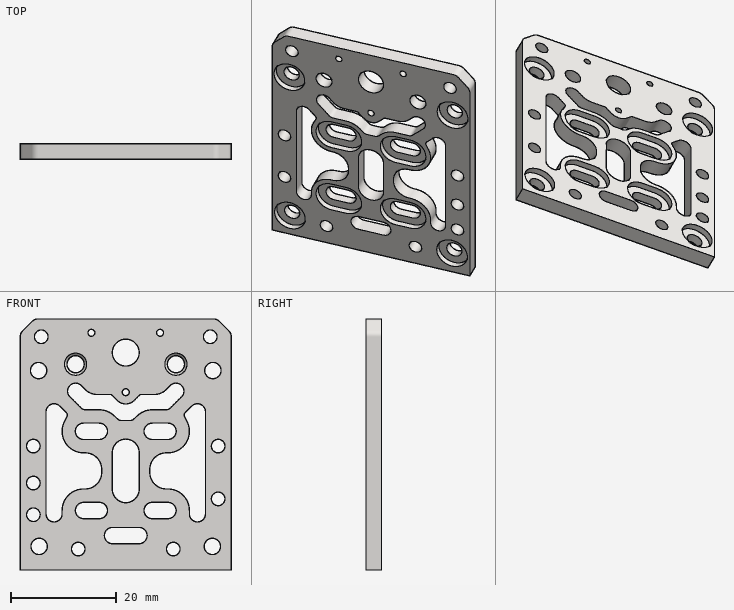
import cadquery as cq
import math

PLATE_WIDTH = 40.0
PLATE_HEIGHT = 47.6
PLATE_THICKNESS = 3.0
CORNER_CUT = 2.75
CORNER_CUT_RADIUS = 1.6

PILOT_DIAMETER = 1.27
SMALL_DIAMETER = 2.53
MEDIUM_DIAMETER = 3.05
LARGE_DIAMETER = 5.05
COUNTERSUNK_DIAMETER = 3.2
COUNTERSINK_DIAMETER = 4.2
COUNTERSINK_ANGLE = 90.0

LOWER_SLOT_Z = 11.3
SLOT_PITCH = 15.0
UPPER_SLOT_Z = LOWER_SLOT_Z + SLOT_PITCH
WINDOW_Z = LOWER_SLOT_Z + SLOT_PITCH / 2

CENTER_PILOT_Z = 33.7
PILOT_HOLES = [(-6.5, 44.95), (6.5, 44.95), (0.0, CENTER_PILOT_Z)]
SMALL_HOLES = [
    (-16.0, 44.2), (16.0, 44.2),
    (-17.5, 23.5), (-17.5, 16.5), (-17.5, 10.5),
    (17.5, 23.5), (17.5, 13.5),
    (-9.0, 4.0), (9.0, 4.0),
]
MEDIUM_HOLES = [(-16.5, 37.8), (16.5, 37.8), (-16.4, 4.5), (16.4, 4.5)]
LARGE_HOLES = [(0.0, 41.2)]
COUNTERSUNK_HOLES = [(-9.5, 39.0), (9.5, 39.0)]

SLOT_WIDTH = MEDIUM_DIAMETER
SLOT_LENGTH = 6.05
SLOT_X = 6.5
RECESS_WIDTH = 6.2
RECESS_DEPTH = 1.2
BOTTOM_SLOT_LENGTH = 8.05
BOTTOM_SLOT_Z = 6.55
CENTER_SLOT_WIDTH = LARGE_DIAMETER
CENTER_SLOT_LENGTH = 12.0

END_RADIUS = 1.5
SWEEP_RADIUS = 3.1
ARM_TIP_RADIUS = 0.6
DIP_RADIUS = 1.3
ELBOW_RADIUS = 1.1
BOSS_CORNER_RADIUS = 0.3

ARM_OUTER_X = -15.075
ARM_INNER_X = ARM_OUTER_X + 2 * END_RADIUS
ARM_LOWER_Z = 9.15
ARM_TOP_CENTER_Z = 30.0
NOTCH_X = -4.575
RECESS_WALL = 1.0
LOBE_RADIUS = RECESS_WIDTH / 2 + RECESS_WALL
LOBE_EXIT_ANGLE = 27.0

BAND_UPPER_Z = 33.25
BAND_LOWER_Z = UPPER_SLOT_Z + LOBE_RADIUS
UPPER_ARM_X = -9.5
UPPER_ARM_Z = 33.9
PILOT_BOSS_RADIUS = 2.25
DIP_LOWER_Z = 28.35
DIP_HALF_WIDTH = 1.28

MIN_LENGTH = 1e-3
ROOT2 = math.sqrt(2)


def unit(start, end):
    """Unit vector from start to end."""
    length = math.dist(start, end)
    return ((end[0] - start[0]) / length, (end[1] - start[1]) / length)


def along(point, direction, distance):
    """Point moved by a distance along a direction."""
    return (point[0] + direction[0] * distance, point[1] + direction[1] * distance)


def corner_arc(before, corner, after, radius):
    """Start, middle and end of the arc that rounds a corner."""
    to_before = unit(corner, before)
    to_after = unit(corner, after)
    cosine = to_before[0] * to_after[0] + to_before[1] * to_after[1]
    half_angle = math.acos(cosine) / 2
    setback = radius / math.tan(half_angle)
    middle_distance = radius / math.sin(half_angle) - radius
    start = along(corner, to_before, setback)
    end = along(corner, to_after, setback)
    middle = along(corner, unit(corner, along(start, unit(start, end), math.dist(start, end) / 2)),
                   middle_distance)
    return start, middle, end


def rounded_prism(corners):
    """Plate-thick prism whose outline is a polygon of (x, z, corner radius)."""
    points = [(x, z) for x, z, _ in corners]
    arcs = []
    for i, (_, _, radius) in enumerate(corners):
        following = points[(i + 1) % len(points)]
        if radius:
            arcs.append(corner_arc(points[i - 1], points[i], following, radius))
        else:
            arcs.append((points[i], None, points[i]))

    first = arcs[0][0]
    position = first
    outline = cq.Workplane("XZ").moveTo(*first)
    for start, middle, end in arcs:
        if math.dist(position, start) > MIN_LENGTH:
            outline = outline.lineTo(*start)
        if middle:
            outline = outline.threePointArc(middle, end)
        position = end
    return outline.close().extrude(-PLATE_THICKNESS)


def mirrored_x(corners):
    """The same corners on the other side of the YZ plane, in outline order."""
    return [(-x, z, radius) for x, z, radius in reversed(corners)]


def make_plate():
    half_width = PLATE_WIDTH / 2
    left_side = [
        (-half_width, 0, 0),
        (-half_width, PLATE_HEIGHT - CORNER_CUT, CORNER_CUT_RADIUS),
        (-half_width + CORNER_CUT, PLATE_HEIGHT, CORNER_CUT_RADIUS),
    ]
    return rounded_prism(left_side + mirrored_x(left_side))


def make_side_window():
    """Window on the -X side."""
    notch_half_height = SLOT_PITCH / 2 - LOBE_RADIUS
    notch_lower_z = WINDOW_Z - notch_half_height
    notch_upper_z = WINDOW_Z + notch_half_height

    lean = math.radians(LOBE_EXIT_ANGLE)
    lobe_exit_z = UPPER_SLOT_Z + LOBE_RADIUS * math.tan(lean / 2)

    arm_center_x = ARM_OUTER_X + END_RADIUS
    flat_sum = arm_center_x + ARM_TOP_CENTER_Z + END_RADIUS * ROOT2
    flat_length = (flat_sum - ARM_INNER_X - lobe_exit_z) / (math.sin(lean) + math.cos(lean))
    tip_x = ARM_INNER_X + flat_length * math.sin(lean)

    return rounded_prism([
        (ARM_OUTER_X, ARM_LOWER_Z, END_RADIUS),
        (ARM_OUTER_X, flat_sum - ARM_OUTER_X, END_RADIUS),
        (tip_x, flat_sum - tip_x, ARM_TIP_RADIUS),
        (ARM_INNER_X, lobe_exit_z, LOBE_RADIUS),
        (ARM_INNER_X, notch_upper_z, LOBE_RADIUS),
        (NOTCH_X, notch_upper_z, SWEEP_RADIUS),
        (NOTCH_X, notch_lower_z, SWEEP_RADIUS),
        (ARM_INNER_X, notch_lower_z, LOBE_RADIUS),
        (ARM_INNER_X, ARM_LOWER_Z, END_RADIUS),
    ])


def make_upper_window():
    """Window below the central pilot hole, symmetric about the YZ plane."""
    arm_sum = UPPER_ARM_X + UPPER_ARM_Z
    arm_lower_sum = arm_sum - END_RADIUS * ROOT2
    arm_upper_sum = arm_sum + END_RADIUS * ROOT2
    boss_sum = CENTER_PILOT_Z - PILOT_BOSS_RADIUS * ROOT2
    dip_sum = DIP_LOWER_Z - DIP_HALF_WIDTH
    boss_lower_z = CENTER_PILOT_Z - PILOT_BOSS_RADIUS

    arm_end_x = UPPER_ARM_X - END_RADIUS * ROOT2
    arm_end_z = UPPER_ARM_Z + END_RADIUS * ROOT2

    left_side = [
        (-DIP_HALF_WIDTH, DIP_LOWER_Z, DIP_RADIUS),
        (dip_sum - BAND_LOWER_Z, BAND_LOWER_Z, LOBE_RADIUS),
        (arm_lower_sum - BAND_LOWER_Z, BAND_LOWER_Z, ELBOW_RADIUS),
        (arm_end_x, UPPER_ARM_Z, END_RADIUS),
        (UPPER_ARM_X, arm_end_z, END_RADIUS),
        (arm_upper_sum - BAND_UPPER_Z, BAND_UPPER_Z, SWEEP_RADIUS),
        (boss_sum - BAND_UPPER_Z, BAND_UPPER_Z, BOSS_CORNER_RADIUS),
        (boss_sum - boss_lower_z, boss_lower_z, PILOT_BOSS_RADIUS),
    ]
    return rounded_prism(left_side + mirrored_x(left_side))


def cut_holes(body, centers, diameter):
    holes = cq.Workplane("XZ").pushPoints(centers).circle(diameter / 2).extrude(-PLATE_THICKNESS)
    return body.cut(holes)


def cut_slots(body, centers, length, width, angle=0):
    slots = cq.Workplane("XZ").pushPoints(centers).slot2D(length, width, angle).extrude(-PLATE_THICKNESS)
    return body.cut(slots)


def cut_hole_recesses(body, centers):
    """Round recesses sunk into the rear face."""
    recesses = cq.Workplane("XZ", origin=(0, PLATE_THICKNESS, 0)).pushPoints(centers)
    return body.cut(recesses.circle(RECESS_WIDTH / 2).extrude(RECESS_DEPTH))


def cut_slot_recesses(body, centers):
    """Recesses sunk into the rear face, concentric with the slot ends."""
    length = SLOT_LENGTH - SLOT_WIDTH + RECESS_WIDTH
    recesses = cq.Workplane("XZ", origin=(0, PLATE_THICKNESS, 0)).pushPoints(centers)
    return body.cut(recesses.slot2D(length, RECESS_WIDTH).extrude(RECESS_DEPTH))


def cut_countersinks(body, centers):
    """Conical mouths on the front face."""
    outer_radius = COUNTERSINK_DIAMETER / 2
    depth = outer_radius / math.tan(math.radians(COUNTERSINK_ANGLE / 2))
    for x, z in centers:
        cone = cq.Solid.makeCone(outer_radius, 0, depth, pnt=cq.Vector(x, 0, z), dir=cq.Vector(0, 1, 0))
        body = body.cut(cq.Workplane(cone))
    return body


result = make_plate()

side_window = make_side_window()
result = result.cut(side_window)
result = result.cut(side_window.mirror("YZ"))
result = result.cut(make_upper_window())

corner_slots = [(x, z) for x in (-SLOT_X, SLOT_X) for z in (LOWER_SLOT_Z, UPPER_SLOT_Z)]
result = cut_slots(result, corner_slots, SLOT_LENGTH, SLOT_WIDTH)
result = cut_slot_recesses(result, corner_slots)
result = cut_slots(result, [(0, BOTTOM_SLOT_Z)], BOTTOM_SLOT_LENGTH, SLOT_WIDTH)
result = cut_slots(result, [(0, WINDOW_Z)], CENTER_SLOT_LENGTH, CENTER_SLOT_WIDTH, angle=90)

result = cut_holes(result, PILOT_HOLES, PILOT_DIAMETER)
result = cut_holes(result, SMALL_HOLES, SMALL_DIAMETER)
result = cut_holes(result, MEDIUM_HOLES, MEDIUM_DIAMETER)
result = cut_hole_recesses(result, MEDIUM_HOLES)
result = cut_holes(result, LARGE_HOLES, LARGE_DIAMETER)
result = cut_holes(result, COUNTERSUNK_HOLES, COUNTERSUNK_DIAMETER)
result = cut_countersinks(result, COUNTERSUNK_HOLES)